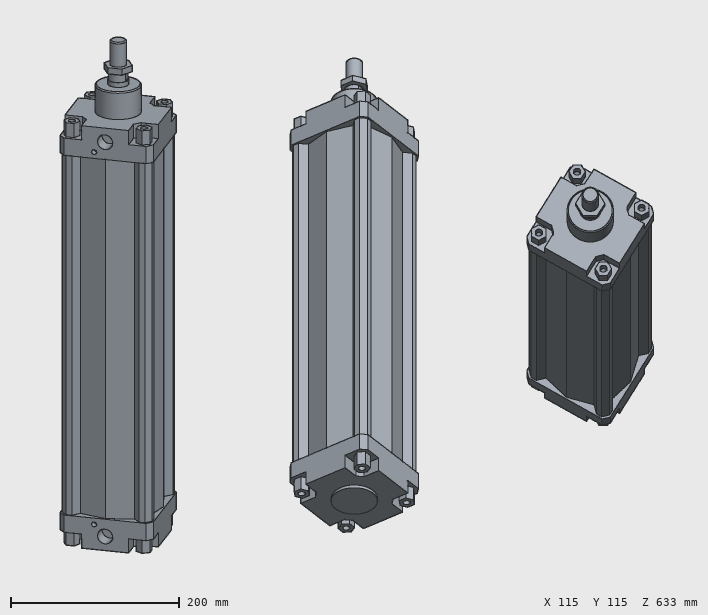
import cadquery as cq
import math

cap_width = 115.0
cap_height = 40.0
body_length = 538.0
cap_corner_chamfer = 7.0

pocket_wall = 29.0
pocket_depth = 18.0
pocket_chamfer = 7.0
bolt_spacing = 89.0
bolt_across_flats = 17.0
bolt_hole_diameter = 8.5
bolt_hole_depth = 12.0
drill_tip_angle = 118.0

barrel_width = 111.0
barrel_corner_chamfer = 7.0
pillar_width = 14.0
pillar_step = 8.5

port_diameter = 18.6
port_depth = 20.0
port_offset = 18.0
screw_diameter = 6.0
screw_depth = 10.0
screw_x = -13.5
screw_offset = 32.0

collar_diameter = 55.0
front_collar_height = 35.0
rear_collar_height = 4.0
collar_chamfer = 1.5

rod_diameter = 25.0
rod_extension = 91.0
thread_diameter = 20.0
thread_length = 40.0
thread_chamfer = 1.5
neck_diameter = 24.0
neck_length = 10.0
neck_chamfer = 0.5
flat_width = 21.0
nut_across_flats = 30.0
nut_height = 8.0
nut_tip_distance = 31.0

half_cap = cap_width / 2
half_barrel = barrel_width / 2
collar_top = body_length + front_collar_height
rod_tip = body_length + rod_extension
thread_start = rod_tip - thread_length
neck_start = thread_start - neck_length


def hex_diameter(across_flats):
    return across_flats / math.cos(math.pi / 6)


def corner_pocket():
    """Pocket open to the corner at +X +Y, with its inner corner cut off."""
    size = half_cap - pocket_wall
    return (
        cq.Workplane("XY")
        .box(size, size, pocket_depth, centered=False)
        .edges("|Z and <X and <Y")
        .chamfer(pocket_chamfer)
        .translate((pocket_wall, pocket_wall, 0))
    )


def tie_bolt():
    """Hexagonal bolt in the +X +Y pocket, with a drilled hole in its end."""
    radius = bolt_hole_diameter / 2
    tip_depth = radius / math.tan(math.radians(drill_tip_angle / 2))
    drill = (
        cq.Workplane("XZ")
        .polyline([(0, 0), (radius, 0), (radius, bolt_hole_depth), (0, bolt_hole_depth + tip_depth)])
        .close()
        .revolve(360, (0, 0, 0), (0, 1, 0))
    )
    return (
        cq.Workplane("XY")
        .polygon(6, hex_diameter(bolt_across_flats))
        .extrude(pocket_depth)
        .cut(drill)
        .translate((bolt_spacing / 2, bolt_spacing / 2, 0))
    )


def recess(x, z, diameter, depth):
    """Round recess going in from the -Y face of a cap."""
    return cq.Workplane("XZ", origin=(x, -half_cap, z)).circle(diameter / 2).extrude(-depth)


def make_cap():
    """Rear cap with its outer face at Z = 0; the front cap is its mirror image."""
    cap = cq.Workplane("XY").rect(cap_width, cap_width).extrude(cap_height)
    cap = cap.edges("|Z").chamfer(cap_corner_chamfer)
    for corner in range(4):
        angle = 90 * corner
        cap = cap.cut(corner_pocket().rotate((0, 0, 0), (0, 0, 1), angle))
        cap = cap.union(tie_bolt().rotate((0, 0, 0), (0, 0, 1), angle))
    cap = cap.cut(recess(0, port_offset, port_diameter, port_depth))
    return cap.cut(recess(screw_x, screw_offset, screw_diameter, screw_depth))


def make_barrel():
    pillar_edge = half_barrel - pillar_width
    panel_edge = pillar_edge - pillar_step
    side = [
        (half_barrel, 0),
        (half_barrel - pillar_step, panel_edge),
        (half_barrel, pillar_edge),
        (half_barrel, half_barrel - barrel_corner_chamfer),
        (half_barrel - barrel_corner_chamfer, half_barrel),
        (pillar_edge, half_barrel),
        (panel_edge, half_barrel - pillar_step),
    ]
    outline = list(side)
    for _ in range(3):
        side = [(-y, x) for x, y in side]
        outline += side
    return (
        cq.Workplane("XY", origin=(0, 0, cap_height))
        .polyline(outline)
        .close()
        .extrude(body_length - 2 * cap_height)
    )


def make_collar(base, height):
    return cq.Workplane("XY", origin=(0, 0, base)).circle(collar_diameter / 2).extrude(height)


def make_housing():
    rear_cap = make_cap()
    front_cap = rear_cap.mirror("XY").translate((0, 0, body_length))
    front_collar = make_collar(body_length, front_collar_height).faces(">Z").edges().chamfer(collar_chamfer)
    rear_collar = make_collar(-rear_collar_height, rear_collar_height)
    return make_barrel().union(rear_cap).union(front_cap).union(front_collar).union(rear_collar)


def make_rod():
    """Piston rod standing on the front collar, with a flatted neck and a plain threaded end."""
    shank = cq.Workplane("XY", origin=(0, 0, collar_top)).circle(rod_diameter / 2)
    shank = shank.extrude(neck_start - collar_top)
    neck = cq.Workplane("XY", origin=(0, 0, neck_start)).circle(neck_diameter / 2)
    neck = neck.extrude(neck_length).faces(">Z").edges().chamfer(neck_chamfer)
    between_flats = cq.Workplane("XY", origin=(0, 0, neck_start)).rect(flat_width, neck_diameter)
    between_flats = between_flats.extrude(neck_length)
    thread = cq.Workplane("XY", origin=(0, 0, thread_start)).circle(thread_diameter / 2)
    thread = thread.extrude(thread_length).faces(">Z").edges().chamfer(thread_chamfer)
    return shank.union(neck.intersect(between_flats)).union(thread)


def make_nut():
    return (
        cq.Workplane("XY", origin=(0, 0, rod_tip - nut_tip_distance - nut_height))
        .polygon(6, hex_diameter(nut_across_flats))
        .circle(thread_diameter / 2)
        .extrude(nut_height)
    )


housing = make_housing()
piston_rod = make_rod()
lock_nut = make_nut()

result = cq.Compound.makeCompound([housing.val(), piston_rod.val(), lock_nut.val()])